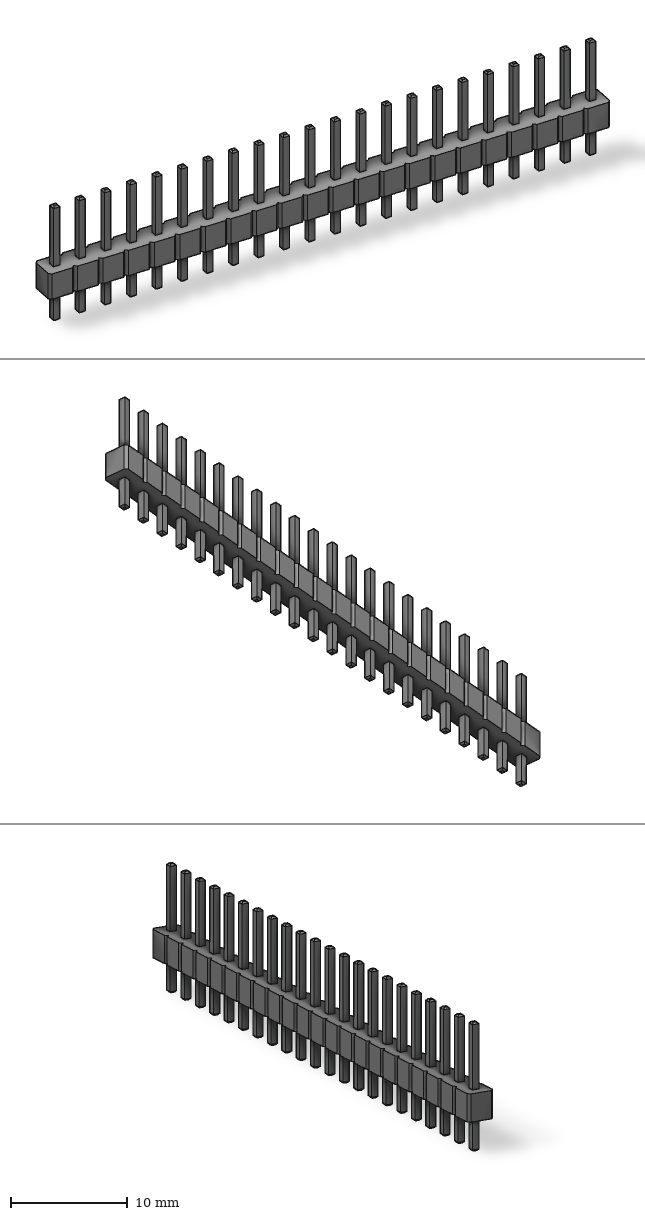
import cadquery as cq

pitch = 2.54
pin_count = 22
row_length = pin_count * pitch

body_width = 2.54
body_height = 2.54
body_chamfer = pitch / 10

pin_side = 0.64
pin_above = 6.0
pin_below = 3.0
pin_length = pin_below + body_height + pin_above
tip_chamfer = pin_side / 4

first_pin_y = -(row_length - pitch) / 2
pin_points = [(0, first_pin_y + i * pitch) for i in range(pin_count)]


def strip_side(x_sign, y_start, y_sign):
    """Corner points of one long side of the strip, walked along Y."""
    wall_x = x_sign * body_width / 2
    notch_x = x_sign * (body_width / 2 - body_chamfer)
    points = []
    for i in range(pin_count):
        cell_start = y_start + y_sign * i * pitch
        cell_end = cell_start + y_sign * pitch
        points.append((notch_x, cell_start))
        points.append((wall_x, cell_start + y_sign * body_chamfer))
        points.append((wall_x, cell_end - y_sign * body_chamfer))
    points.append((notch_x, y_start + y_sign * row_length))
    return points


def make_body():
    """Insulator strip with a V notch between neighbouring cells, resting on Z = 0."""
    right_side = strip_side(1, -row_length / 2, 1)
    left_side = strip_side(-1, row_length / 2, -1)
    return cq.Workplane("XY").polyline(right_side + left_side).close().extrude(body_height)


def make_pins():
    """Square pins with all four edges chamfered at both tips."""
    pin = (
        cq.Workplane("XY")
        .workplane(offset=-pin_below)
        .rect(pin_side, pin_side)
        .extrude(pin_length)
        .faces("<Z or >Z")
        .chamfer(tip_chamfer)
    )
    return cq.Workplane("XY").pushPoints(pin_points).eachpoint(pin.val(), combine=False)


result = make_body().union(make_pins())